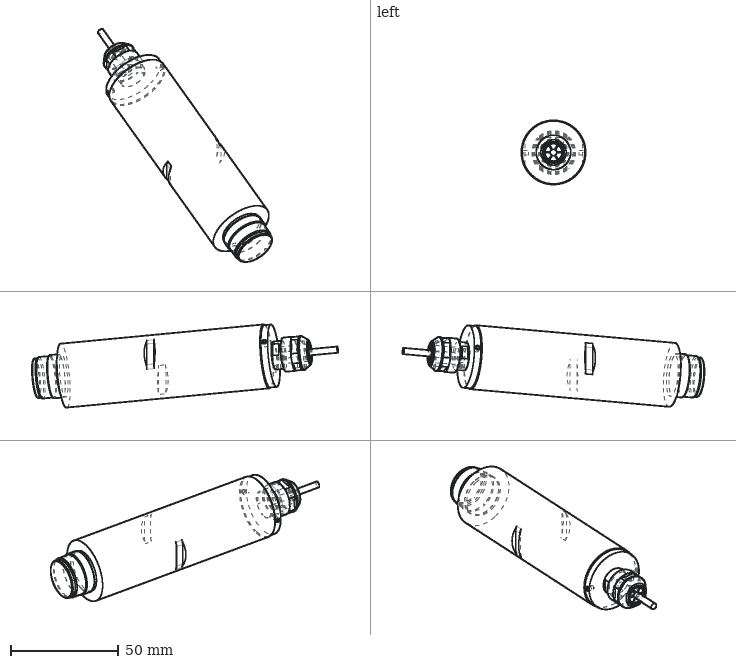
import cadquery as cq
import math


TOTAL_LENGTH = 143.5
CAP_START = 13.0
CAP_END = 25.7
DISC_START = 30.3
DISC_THICKNESS = 3.2
HOUSING_END = 130.3
HOUSING_START = DISC_START + DISC_THICKNESS

HOUSING_DIAMETER = 30.0
HOUSING_RADIUS = HOUSING_DIAMETER / 2
HOUSING_CHAMFER_LENGTH = 0.5
HOUSING_CHAMFER_DEPTH = 0.36
NOTCH_TO_END = 44.0
NOTCH_CENTRE = HOUSING_END - NOTCH_TO_END
NOTCH_TOP_WIDTH = 5.2
NOTCH_FLOOR_WIDTH = 3.5
NOTCH_FLAT_OFFSET = 13.5
NOTCH_FLAT_HALF_HEIGHT = 5.5
NOTCH_HALF_HEIGHT = 7.6
NOTCH_END_OFFSET = math.sqrt(HOUSING_RADIUS**2 - NOTCH_HALF_HEIGHT**2)

DISC_RADIUS = HOUSING_RADIUS - HOUSING_CHAMFER_DEPTH
SCREW_RADIUS = 1.08
SCREW_LENGTH = 2.9
SCREW_CONE_RADIUS = 0.7
SCREW_CONE_DEPTH = 0.6
SCREW_X = DISC_START + DISC_THICKNESS / 2

CABLE_DIAMETER = 3.0
CABLE_RADIUS = CABLE_DIAMETER / 2
INSERT_RADIUS = 4.0
INSERT_RECESS = 0.3
INSERT_SLOTS = 6
INSERT_SLOT_WIDTH = 0.5
INSERT_SLOT_DEPTH = 1.5

CAP_RADIUS = 8.0
CAP_FACE_RADIUS = 5.0
CAP_NOSE_RADIUS = 5.9
CAP_NOSE_LENGTH = 0.5
CAP_CONE_END = 16.5
CAP_REAR_FILLET = 0.9
CAP_FLAT_OFFSET = 7.0
CAP_CORNER_RADIUS = 7.9
CAP_GROOVE_TOP_START = 17.2
CAP_GROOVE_FLOOR_START = 17.8
CAP_GROOVE_FLOOR_END = 20.4
CAP_GROOVE_TOP_END = 20.8

NECK_RADIUS = 6.6
NECK_CHAMFER = 0.3
NECK_FLAT_OFFSET = 5.9
NECK_FLAT_START = 26.7
NECK_FLAT_END = 29.5

CONNECTOR_UNDERCUT_RADIUS = 9.9
CONNECTOR_UNDERCUT_END = 131.5
COLLAR_RADIUS = 10.2
COLLAR_END = 135.7
PLUG_RADIUS = 9.8
PLUG_START = 136.2
PLUG_END = 141.0
TIP_RADIUS = 9.3
TIP_START = 141.7
TIP_CHAMFER = 0.5


def revolve_about_x(points):
    """Revolve a closed (x, radius) outline about the X axis."""
    return cq.Workplane("XY").polyline(points).close().revolve(360, (0, 0, 0), (1, 0, 0))


def rod(start, end, radius):
    """Cylinder along the X axis."""
    return cq.Workplane("YZ", origin=(start, 0, 0)).circle(radius).extrude(end - start)


def make_cable():
    return rod(0, CAP_END, CABLE_RADIUS)


def make_insert():
    """Gripping sleeve around the cable, with radial slots in its outer face."""
    start = CAP_START + INSERT_RECESS
    insert = rod(start, CAP_END, INSERT_RADIUS)
    slot = cq.Workplane("XY").box(
        INSERT_SLOT_DEPTH, INSERT_RADIUS, INSERT_SLOT_WIDTH, centered=(False, False, True)
    ).translate((start, 0, 0))
    for i in range(INSERT_SLOTS):
        insert = insert.cut(slot.rotate((0, 0, 0), (1, 0, 0), i * 360 / INSERT_SLOTS))
    return insert.cut(make_cable())


def make_cap():
    """Conical gland nut with a through bore, a rounded rear edge and a wrench groove."""
    cap = revolve_about_x([
        (CAP_START, INSERT_RADIUS + INSERT_RECESS),
        (CAP_START, CAP_FACE_RADIUS),
        (CAP_START + CAP_NOSE_LENGTH, CAP_NOSE_RADIUS),
        (CAP_CONE_END, CAP_RADIUS),
        (CAP_END, CAP_RADIUS),
        (CAP_END, INSERT_RADIUS),
        (CAP_START + INSERT_RECESS, INSERT_RADIUS),
    ])
    cap = cap.edges(cq.selectors.RadiusNthSelector(-1)).edges(">X").fillet(CAP_REAR_FILLET)
    return cap.cut(cap_groove())


def cap_groove():
    """Groove with conical walls around a square core with rounded corners."""
    ring = revolve_about_x([
        (CAP_GROOVE_FLOOR_START, CAP_FLAT_OFFSET),
        (CAP_GROOVE_TOP_START, CAP_RADIUS),
        (CAP_GROOVE_TOP_END, CAP_RADIUS),
        (CAP_GROOVE_FLOOR_END, CAP_FLAT_OFFSET),
    ])
    core = (
        cq.Workplane("YZ", origin=(CAP_GROOVE_TOP_START, 0, 0))
        .rect(2 * CAP_FLAT_OFFSET, 2 * CAP_FLAT_OFFSET)
        .extrude(CAP_GROOVE_TOP_END - CAP_GROOVE_TOP_START)
        .intersect(rod(CAP_GROOVE_TOP_START, CAP_GROOVE_TOP_END, CAP_CORNER_RADIUS))
    )
    return ring.cut(core)


def make_neck():
    """Threaded neck between the cap and the disc, with flats on both Y sides."""
    neck = rod(CAP_END, DISC_START, NECK_RADIUS).faces(">X").chamfer(NECK_CHAMFER)
    flat_cut = cq.Workplane("XY").box(
        NECK_FLAT_END - NECK_FLAT_START, NECK_RADIUS, 2 * NECK_RADIUS, centered=(False, False, True)
    ).translate((NECK_FLAT_START, NECK_FLAT_OFFSET, 0))
    return neck.cut(flat_cut).cut(flat_cut.mirror("XZ"))


def screw_blank(side):
    """Plain radial cylinder of a set screw; side is +1 or -1 along Y."""
    blank = (
        cq.Workplane("XZ", origin=(SCREW_X, DISC_RADIUS, 0))
        .circle(SCREW_RADIUS)
        .extrude(SCREW_LENGTH)
    )
    return blank if side > 0 else blank.mirror("XZ")


def make_screw(side):
    """Set screw, flush with the rim of the disc, with a conical recess in its head."""
    cone = cq.Solid.makeCone(
        SCREW_CONE_RADIUS, 0, SCREW_CONE_DEPTH,
        pnt=cq.Vector(SCREW_X, side * DISC_RADIUS, 0), dir=cq.Vector(0, -side, 0),
    )
    rim = rod(DISC_START, HOUSING_START, DISC_RADIUS)
    return screw_blank(side).cut(cq.Workplane(cone)).intersect(rim)


def make_disc():
    """Solid end disc with a hole for each screw."""
    disc = rod(DISC_START, HOUSING_START, DISC_RADIUS)
    for side in (1, -1):
        disc = disc.cut(screw_blank(side))
    return disc


def notch_cutter():
    """Notch on the +Y side: tapered walls and a flat floor whose ends slope out to the surface."""
    taper = (NOTCH_TOP_WIDTH - NOTCH_FLOOR_WIDTH) / 2
    left = NOTCH_CENTRE - NOTCH_TOP_WIDTH / 2
    right = NOTCH_CENTRE + NOTCH_TOP_WIDTH / 2
    walls = (
        cq.Workplane("XY")
        .polyline([
            (left, HOUSING_RADIUS),
            (left + taper, NOTCH_FLAT_OFFSET),
            (left + taper, NOTCH_END_OFFSET),
            (right - taper, NOTCH_END_OFFSET),
            (right - taper, NOTCH_FLAT_OFFSET),
            (right, HOUSING_RADIUS),
        ])
        .close()
        .extrude(NOTCH_HALF_HEIGHT, both=True)
    )
    floor = (
        cq.Workplane("YZ", origin=(left, 0, 0))
        .polyline([
            (HOUSING_RADIUS, NOTCH_HALF_HEIGHT),
            (NOTCH_END_OFFSET, NOTCH_HALF_HEIGHT),
            (NOTCH_FLAT_OFFSET, NOTCH_FLAT_HALF_HEIGHT),
            (NOTCH_FLAT_OFFSET, -NOTCH_FLAT_HALF_HEIGHT),
            (NOTCH_END_OFFSET, -NOTCH_HALF_HEIGHT),
            (HOUSING_RADIUS, -NOTCH_HALF_HEIGHT),
        ])
        .close()
        .extrude(NOTCH_TOP_WIDTH)
    )
    return walls.intersect(floor)


def make_housing():
    """Long solid cylinder, chamfered down to the disc, with a notch on each Y side."""
    housing = revolve_about_x([
        (HOUSING_START, 0),
        (HOUSING_START, HOUSING_RADIUS - HOUSING_CHAMFER_DEPTH),
        (HOUSING_START + HOUSING_CHAMFER_LENGTH, HOUSING_RADIUS),
        (HOUSING_END, HOUSING_RADIUS),
        (HOUSING_END, 0),
    ])
    notch = notch_cutter()
    return housing.cut(notch).cut(notch.mirror("XZ"))


def make_connector():
    """Stepped plug: undercut, collar, plug and chamfered tip."""
    return revolve_about_x([
        (HOUSING_END, 0),
        (HOUSING_END, CONNECTOR_UNDERCUT_RADIUS),
        (CONNECTOR_UNDERCUT_END, CONNECTOR_UNDERCUT_RADIUS),
        (CONNECTOR_UNDERCUT_END, COLLAR_RADIUS),
        (COLLAR_END, COLLAR_RADIUS),
        (PLUG_START, PLUG_RADIUS),
        (PLUG_END, PLUG_RADIUS),
        (TIP_START, TIP_RADIUS),
        (TOTAL_LENGTH - TIP_CHAMFER, TIP_RADIUS),
        (TOTAL_LENGTH, TIP_RADIUS - TIP_CHAMFER),
        (TOTAL_LENGTH, 0),
    ])


cable = make_cable()
insert = make_insert()
cap = make_cap()
neck = make_neck()
disc = make_disc()
screws = [make_screw(side) for side in (1, -1)]
housing = make_housing()
connector = make_connector()

result = cq.Compound.makeCompound([
    cable.val(),
    insert.val(),
    cap.val(),
    neck.val(),
    disc.val(),
    *[screw.val() for screw in screws],
    housing.val(),
    connector.val(),
])